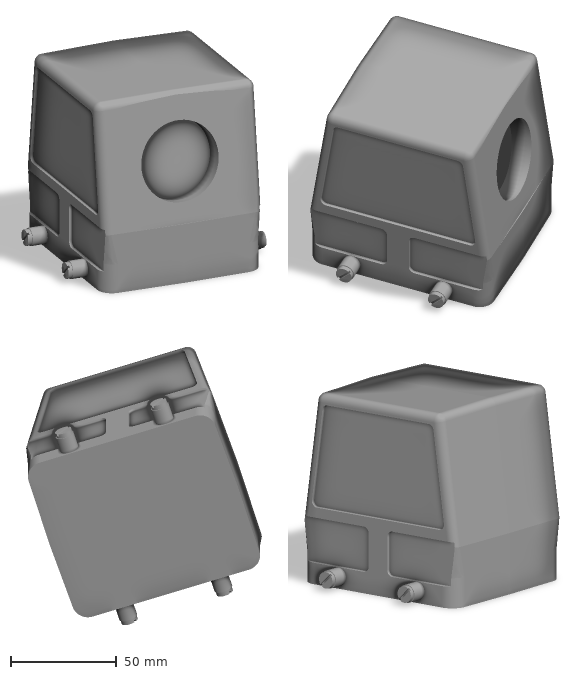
import cadquery as cq
import math

BODY_LENGTH = 94.0
BODY_WIDTH = 82.6
BODY_HEIGHT = 94.0
CROWN_ANGLE = 1.0
WALL_LEAN = 8.0
STRAIGHT_HEIGHT = 14.7
SHOULDER_HEIGHT = 29.8
EDGE_RADIUS = 4.0
FOOT_RADIUS = 7.5

HALF_LENGTH = BODY_LENGTH / 2
HALF_WIDTH = BODY_WIDTH / 2
CROWN_DROP = HALF_WIDTH * math.tan(math.radians(CROWN_ANGLE))
LEAN_SLOPE = math.tan(math.radians(WALL_LEAN))
ROOF_INSET = (BODY_HEIGHT - SHOULDER_HEIGHT) * LEAN_SLOPE

FLAT_WIDTH = 57.4
FLAT_FOOT_X = HALF_LENGTH - FLAT_WIDTH / 2 * math.tan(math.radians(CROWN_ANGLE))
ENTRY_DIAMETER = 40.0
ENTRY_CENTRE_HEIGHT = 60.2
ENTRY_DEPTH = 10.2

RECESS_DEPTH = 1.3
RECESS_DRAFT = 12.0
RECESS_RADIUS = 3.0
WINDOW_BOTTOM = 37.5
WINDOW_TOP = 88.2
WINDOW_HALF_BASE = 40.3
GRIP_BOTTOM = 10.5
GRIP_TOP = 32.5
GRIP_INNER_X = 5.6
GRIP_OVERRUN = 5.1

PIN_SPACING = 47.4
PIN_HEIGHT = 5.9
PIN_DIAMETER = 8.8
PIN_TIP_DIAMETER = 8.0
PIN_TIP_LENGTH = 2.3
PIN_REACH = 51.2
PIN_ROOT = 5.1
SLOT_WIDTH = 1.2
SLOT_DEPTH = 1.0
SLOT_ANGLE = 45.0


def polygon_face(points):
    """Flat face bounded by straight edges through the points."""
    return cq.Face.makeFromWires(cq.Wire.makePolygon(points, close=True))


def upper_half():
    """Leaning-wall half with its sloping roof and rounded outer edges."""
    roof_edge_height = BODY_HEIGHT - CROWN_DROP
    roof_edge_inset = (roof_edge_height - SHOULDER_HEIGHT) * LEAN_SLOPE
    base_corner_x = HALF_LENGTH - CROWN_DROP
    roof_corner_x = base_corner_x - roof_edge_inset
    roof_ridge_x = HALF_LENGTH - ROOF_INSET

    def end_wall(side):
        return [
            cq.Vector(side * HALF_LENGTH, 0, SHOULDER_HEIGHT),
            cq.Vector(side * base_corner_x, HALF_WIDTH, SHOULDER_HEIGHT),
            cq.Vector(side * roof_corner_x, HALF_WIDTH, roof_edge_height),
            cq.Vector(side * roof_ridge_x, 0, BODY_HEIGHT),
        ]

    left = end_wall(-1)
    right = end_wall(1)
    faces = [polygon_face(left), polygon_face(right)]
    for i in range(len(left)):
        faces.append(polygon_face([left[i - 1], left[i], right[i], right[i - 1]]))
    block = cq.Workplane(cq.Solid.makeSolid(cq.Shell.makeShell(faces)))

    outer_edges = block.edges().filter(
        lambda edge: edge.Center().y > EDGE_RADIUS
        and edge.Center().z > SHOULDER_HEIGHT + EDGE_RADIUS
    )
    return outer_edges.fillet(EDGE_RADIUS)


def lower_half(shoulder_wire):
    """Upright half: round foot corners that narrow to meet the shoulder outline."""
    foot = (
        cq.Workplane("XY")
        .polyline([
            (-HALF_LENGTH, 0),
            (HALF_LENGTH, 0),
            (HALF_LENGTH - CROWN_DROP, HALF_WIDTH),
            (CROWN_DROP - HALF_LENGTH, HALF_WIDTH),
        ])
        .close()
        .extrude(STRAIGHT_HEIGHT)
        .edges("|Z and >Y")
        .fillet(FOOT_RADIUS)
    )
    foot_wire = foot.faces(">Z").wires().val()
    transition = cq.Workplane(cq.Solid.makeLoft([foot_wire, shoulder_wire], True))
    return foot.union(transition)


def body():
    """Plain hood, mirrored about the centre plane."""
    upper = upper_half()
    lower = lower_half(upper.faces("<Z").wires().val())
    half = upper.union(lower)
    return half.union(half.mirror("XZ"))


def entry_wall_cut():
    """Material outside the leaning flat of the +X wall, shoulder to roof."""
    return (
        cq.Workplane("XZ")
        .polyline([
            (FLAT_FOOT_X, SHOULDER_HEIGHT),
            (FLAT_FOOT_X - ROOF_INSET, BODY_HEIGHT),
            (BODY_LENGTH, BODY_HEIGHT),
            (BODY_LENGTH, SHOULDER_HEIGHT),
        ])
        .close()
        .extrude(HALF_WIDTH, both=True)
    )


def entry_bore():
    """Blind cable entry, square to the flat."""
    lean = math.radians(WALL_LEAN)
    centre_x = FLAT_FOOT_X - (ENTRY_CENTRE_HEIGHT - SHOULDER_HEIGHT) * LEAN_SLOPE
    inward = cq.Vector(-math.cos(lean), 0, -math.sin(lean))
    return cq.Workplane(
        cq.Solid.makeCylinder(
            ENTRY_DIAMETER / 2,
            ENTRY_DEPTH,
            cq.Vector(centre_x, 0, ENTRY_CENTRE_HEIGHT),
            inward,
        )
    )


def sink(outline):
    """Drafted recess cutter from a closed outline on the -Y face."""
    return outline.extrude(-RECESS_DEPTH, taper=RECESS_DRAFT)


def front_plane():
    """Workplane on the -Y face, drawn in X and Z."""
    return cq.Workplane("XZ", origin=(0, -HALF_WIDTH, 0))


def window_recess():
    """Trapezoid whose sides follow the leaning walls."""
    half_top = WINDOW_HALF_BASE - (WINDOW_TOP - WINDOW_BOTTOM) * LEAN_SLOPE
    outline = (
        cq.Sketch()
        .polygon([
            (-WINDOW_HALF_BASE, WINDOW_BOTTOM),
            (WINDOW_HALF_BASE, WINDOW_BOTTOM),
            (half_top, WINDOW_TOP),
            (-half_top, WINDOW_TOP),
            (-WINDOW_HALF_BASE, WINDOW_BOTTOM),
        ])
        .vertices()
        .fillet(RECESS_RADIUS)
    )
    return sink(front_plane().placeSketch(outline))


def grip_recess(side):
    """Rectangle open at the corner of the body; side is -1 or 1 along X."""
    length = HALF_LENGTH + GRIP_OVERRUN - GRIP_INNER_X
    height = GRIP_TOP - GRIP_BOTTOM
    outline = cq.Sketch().rect(length, height).vertices().fillet(RECESS_RADIUS)
    centre_x = side * (GRIP_INNER_X + length / 2)
    centre_z = GRIP_BOTTOM + height / 2
    return sink(front_plane().center(centre_x, centre_z).placeSketch(outline))


def pin(x):
    """Stepped pin on the -Y face with a diagonal screwdriver slot in its end."""
    shank_end = PIN_REACH - PIN_TIP_LENGTH
    root = HALF_WIDTH - PIN_ROOT
    shank = (
        cq.Workplane("XZ", origin=(x, -root, PIN_HEIGHT))
        .circle(PIN_DIAMETER / 2)
        .extrude(shank_end - root)
    )
    tip = (
        cq.Workplane("XZ", origin=(x, -shank_end, PIN_HEIGHT))
        .circle(PIN_TIP_DIAMETER / 2)
        .extrude(PIN_TIP_LENGTH)
    )
    slot = (
        cq.Workplane("XZ", origin=(x, -PIN_REACH, PIN_HEIGHT))
        .transformed(rotate=(0, 0, SLOT_ANGLE))
        .rect(PIN_DIAMETER, SLOT_WIDTH)
        .extrude(-SLOT_DEPTH)
    )
    return shank.union(tip).cut(slot)


def turned(feature):
    """The same feature on the +Y face, half a turn about Z."""
    return feature.rotate((0, 0, 0), (0, 0, 1), 180)


hood = body().cut(entry_wall_cut()).cut(entry_bore())

for recess in (window_recess(), grip_recess(-1), grip_recess(1)):
    hood = hood.cut(recess).cut(turned(recess))

for pin_x in (-PIN_SPACING / 2, PIN_SPACING / 2):
    hood = hood.union(pin(pin_x)).union(turned(pin(pin_x)))

result = hood